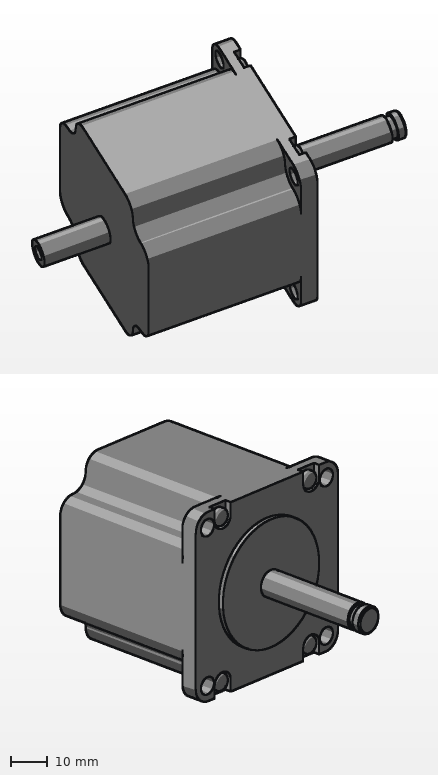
import cadquery as cq
import math


width = 56.4
half_width = width / 2
corner_radius = 5.0
flange_thickness = 5.0
mount_hole_diameter = 5.2
mount_hole_offset = 23.6

length = 109.6
rear_shaft_length = 20.0
housing_length = 51.1
rear_end_y = -length / 2
housing_rear_y = rear_end_y + rear_shaft_length
mount_face_y = housing_rear_y + housing_length
flange_rear_y = mount_face_y - flange_thickness

pilot_diameter = 38.1
pilot_thickness = 1.5

shaft_diameter = 8.0
tip_length = 2.5
tip_chamfer = 0.4
groove_width = 1.9
groove_diameter = 6.6
centre_hole_diameter = 4.1
centre_hole_depth = 4.0
drill_point_angle = 120.0

screw_x = 17.5
screw_z = 24.5
recess_width = 6.4
recess_depth = 2.0
head_diameter = 5.3
head_height = recess_depth
head_rounding = 1.0


def along_y(start_y):
    """Sketch plane facing +Y at the given position, with local x = -X and local y = Z."""
    return cq.Workplane("XZ", origin=(0, start_y, 0)).transformed(rotate=(0, 180, 0))


def cylinder(start_y, diameter, height, centres=((0, 0),)):
    return along_y(start_y).pushPoints(centres).circle(diameter / 2).extrude(height)


def square_points(x, z):
    return [(sx * x, sz * z) for sx in (-1, 1) for sz in (-1, 1)]


def housing():
    """Square block whose corners behind the flange are cleared for the mounting bolts."""
    block = along_y(housing_rear_y).rect(width, width).extrude(housing_length)
    block = block.edges("|Y").fillet(corner_radius)

    centre = half_width - corner_radius
    inner = centre - corner_radius
    shoulder = inner - corner_radius
    diagonal = corner_radius * 0.5 ** 0.5
    profile = (
        along_y(housing_rear_y)
        .moveTo(shoulder, half_width)
        .threePointArc((shoulder + diagonal, centre + diagonal), (inner, centre))
        .threePointArc((centre - diagonal, centre - diagonal), (centre, inner))
        .threePointArc((centre + diagonal, shoulder + diagonal), (half_width, shoulder))
        .lineTo(half_width, half_width)
        .close()
    )
    clearance = profile.extrude(housing_length - flange_thickness)
    for quarter in range(4):
        block = block.cut(clearance.rotate((0, 0, 0), (0, 1, 0), 90 * quarter))

    mount_holes = cylinder(
        flange_rear_y,
        mount_hole_diameter,
        flange_thickness,
        square_points(mount_hole_offset, mount_hole_offset),
    )
    return block.cut(mount_holes)


def screw_recesses():
    """Round-ended slots that run out through the top and bottom sides."""
    floor_y = mount_face_y - recess_depth
    round_ends = cylinder(floor_y, recess_width, recess_depth, square_points(screw_x, screw_z))
    run_out = half_width - screw_z
    run_out_centres = square_points(screw_x, screw_z + run_out / 2)
    run_outs = along_y(floor_y).pushPoints(run_out_centres).rect(recess_width, run_out)
    return round_ends.union(run_outs.extrude(recess_depth))


def screw_heads():
    """Heads with rounded tops, level with the mounting face."""
    floor_y = mount_face_y - recess_depth
    heads = cylinder(floor_y, head_diameter, head_height, square_points(screw_x, screw_z))
    return heads.faces(">Y").edges().fillet(head_rounding)


def centre_hole():
    """Drilled hole with a conical bottom in the rear end of the shaft."""
    radius = centre_hole_diameter / 2
    point_height = radius / math.tan(math.radians(drill_point_angle / 2))
    point = cq.Solid.makeCone(
        radius,
        0,
        point_height,
        pnt=cq.Vector(0, rear_end_y + centre_hole_depth, 0),
        dir=cq.Vector(0, 1, 0),
    )
    return cylinder(rear_end_y, centre_hole_diameter, centre_hole_depth).union(point)


def shaft():
    """Rod through the whole motor, with a retaining groove near its chamfered front end."""
    rod = cylinder(rear_end_y, shaft_diameter, length)
    rod = rod.faces(">Y").edges().chamfer(tip_chamfer)

    groove_y = length / 2 - tip_length - groove_width
    groove = cylinder(groove_y, shaft_diameter, groove_width)
    groove = groove.cut(cylinder(groove_y, groove_diameter, groove_width))

    return rod.cut(groove).cut(centre_hole())


result = (
    housing()
    .cut(screw_recesses())
    .union(screw_heads())
    .union(cylinder(mount_face_y, pilot_diameter, pilot_thickness))
    .union(shaft())
)